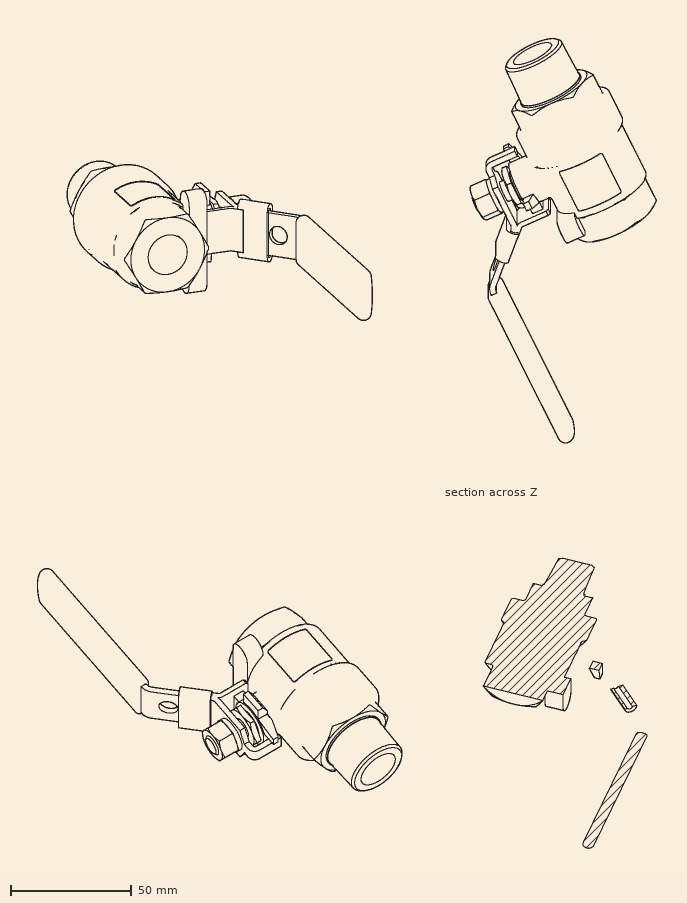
import cadquery as cq
import math


PIPE_END = -50.0
NECK_START = -32.8
LEFT_HEX_START = -32.0
FLANGE_START = -21.1
FLANGE_END = -8.0
BODY_START = -5.6
BODY_END = 19.0
RIGHT_HEX_END = 32.0

BORE_D = 17.5
FLANGE_D = 43.0
BODY_D = 40.0
EDGE_ROUND = 1.0
STEP_ARC_SHARE = 0.6

STUB_TIP_D = 24.12
STUB_START_D = 26.0
STUB_CHAMFER = 1.0
STUB_TAPER = 1 / 16
NECK_D = 27.6

HEX_FLATS = 33.0
HEX_CORNER_ROUND = 1.4
HEX_ROOT_ROUND = 1.0
HEX_CHAMFER_ANGLE = 30.0

LABEL_X = (-3.65, 15.7)
LABEL_HEIGHT = 19.8
LABEL_CORNER = 0.8
LABEL_DEPTH = 0.3

LUG_X = 20.95
LUG_SPAN = 45.0
LUG_WIDTH = 10.2
LUG_BOTTOM = 12.0
LUG_TOP = 20.0

BOSS_D = 20.0
BOSS_TOP = 30.0
BOSS_ROOT_ROUND = 1.0
GLAND_WASHER_D = 13.0
GLAND_NUT_BOTTOM = 31.2
GLAND_NUT_TOP = 33.9
GLAND_NUT_FLATS = 17.0
STEM_D = 9.0
STEM_TOP = 49.9
STEM_CHAMFER = 0.8
LEVER_WASHER_D = 15.0
LEVER_NUT_BOTTOM = 41.5
LEVER_NUT_TOP = 49.1
LEVER_NUT_FLATS = 14.3

PLATE_BOTTOM = 24.7
PLATE_TOP = 29.5
PLATE_TIP_BOTTOM = 27.0
STOP_REACH = 16.2
STOP_TAPER_END = 8.7
STOP_INNER_FACE = 3.1
STOP_TIP_OUTER_FACE = 6.6
STOP_ROOT_OUTER_FACE = 8.6
WIDE_ARM_WIDTH = 10.4
WIDE_ARM_REACH = 14.8
WIDE_ARM_TAPER_END = 10.8
SHORT_ARM_REACH = 12.2

LEVER_THICKNESS = 2.5
LEVER_WIDTH = 19.0
LEVER_BOTTOM = 36.8
LEVER_TAB_X = -13.95
LEVER_TAB_WIDTH = 6.1
TAB_CORNER_X = -9.1
SHOULDER_CORNER_X = -6.0
LEVER_RISE_OFFSET = 24.75
TAB_BEND = 1.0
RISE_BEND = 3.0
GRIP_BEND = 4.0
LEVER_HOLE_D = 8.0
LEVER_HOLE_X = 27.2

GRIP_START = 36.1
GRIP_END = 110.0
GRIP_END_SAGITTA = 2.2
GRIP_TOP = 61.8
GRIP_THICKNESS = 6.5
GRIP_WIDTH = 22.6
GRIP_CORNER = 3.4
GRIP_ROUND = 3.2
GRIP_START_ROUND = 1.5

LOCK_X = 19.0
LOCK_RISE_OFFSET = 25.3
LOCK_LENGTH = 13.4
LOCK_THICKNESS = 5.65
LOCK_WIDTH = 25.7
LOCK_SLOT_WIDTH = 21.8
LOCK_STRIP_THICKNESS = 2.1
LOCK_STRIP_X = 13.25
LOCK_STRIP_BOTTOM = 22.2
LOCK_STRIP_RISE_OFFSET = 22.5
LOCK_STRIP_END_X = 17.5
LOCK_STRIP_BEND = 0.5
LOCK_STRIP_CORNER = 1.1

LEVER_MID = LEVER_BOTTOM + LEVER_THICKNESS / 2
LEVER_TOP = LEVER_BOTTOM + LEVER_THICKNESS
GRIP_MID = GRIP_TOP - GRIP_THICKNESS / 2
CUT_REACH = 60.0


def across_corners(flats):
    return flats / math.cos(math.radians(30))


def plane_at_height(y):
    """Workplane whose local axes are X and Z; a negative extrusion goes toward +Y."""
    return cq.Workplane("XZ", origin=(0, y, 0))


def disc(diameter, bottom, top):
    return plane_at_height(bottom).circle(diameter / 2).extrude(bottom - top)


def turned_body():
    """Flange, barrel and the S-shaped step between them, as one turned solid."""
    flange_r = FLANGE_D / 2
    body_r = BODY_D / 2
    inflection = (
        FLANGE_END + STEP_ARC_SHARE * (BODY_START - FLANGE_END),
        flange_r + STEP_ARC_SHARE * (body_r - flange_r),
    )
    return (
        cq.Workplane("XY")
        .moveTo(FLANGE_START, 0)
        .lineTo(FLANGE_START, flange_r - EDGE_ROUND)
        .tangentArcPoint((FLANGE_START + EDGE_ROUND, flange_r), relative=False)
        .lineTo(FLANGE_END, flange_r)
        .tangentArcPoint(inflection, relative=False)
        .tangentArcPoint((BODY_START, body_r), relative=False)
        .lineTo(BODY_END - EDGE_ROUND, body_r)
        .tangentArcPoint((BODY_END, body_r - EDGE_ROUND), relative=False)
        .lineTo(BODY_END, 0)
        .close()
        .revolve(360, (0, 0, 0), (1, 0, 0))
    )


def pipe_stub():
    taper_length = NECK_START - PIPE_END - STUB_CHAMFER
    start_r = STUB_START_D / 2
    end_r = start_r + taper_length * STUB_TAPER / 2
    return (
        cq.Workplane("XY")
        .moveTo(PIPE_END, 0)
        .lineTo(PIPE_END, STUB_TIP_D / 2)
        .lineTo(PIPE_END + STUB_CHAMFER, start_r)
        .lineTo(NECK_START, end_r)
        .lineTo(NECK_START, NECK_D / 2)
        .lineTo(LEFT_HEX_START, NECK_D / 2)
        .lineTo(LEFT_HEX_START, 0)
        .close()
        .revolve(360, (0, 0, 0), (1, 0, 0))
    )


def wrench_hex(free_end, root):
    """Hexagon along X with corners on +Y and -Y, chamfered at its free end."""
    corners = across_corners(HEX_FLATS)
    prism = (
        cq.Workplane("YZ", origin=(free_end, 0, 0))
        .polygon(6, corners)
        .extrude(root - free_end)
        .edges("|X")
        .fillet(HEX_CORNER_ROUND)
    )
    rise = (corners - HEX_FLATS) / 2
    depth = math.copysign(rise * math.tan(math.radians(HEX_CHAMFER_ANGLE)), root - free_end)
    envelope = (
        cq.Workplane("XY")
        .moveTo(free_end, 0)
        .lineTo(free_end, HEX_FLATS / 2)
        .lineTo(free_end + depth, corners / 2)
        .lineTo(root, corners / 2)
        .lineTo(root, 0)
        .close()
        .revolve(360, (0, 0, 0), (1, 0, 0))
    )
    return prism.intersect(envelope)


def rooted_hex(free_end, root, seat_d):
    """Wrench hexagon filleted into a seat disc, trimmed to the flat part of the seat."""
    seat_end = root + math.copysign(EDGE_ROUND, root - free_end)
    seat = cq.Workplane("YZ", origin=(root, 0, 0)).circle(FLANGE_D / 2).extrude(seat_end - root)
    root_box = cq.selectors.BoxSelector(
        (root - EDGE_ROUND / 2, -FLANGE_D, -FLANGE_D), (root + EDGE_ROUND / 2, FLANGE_D, FLANGE_D)
    )
    rooted = (
        seat.union(wrench_hex(free_end, root))
        .edges(root_box)
        .edges("%LINE")
        .fillet(HEX_ROOT_ROUND)
    )
    trim = (
        cq.Workplane("YZ", origin=(free_end, 0, 0))
        .circle(seat_d / 2)
        .extrude(seat_end - free_end)
    )
    return rooted.intersect(trim)


def label_recess(side):
    """Shallow recess following the barrel; side is +1 for +Z and -1 for -Z."""
    length = LABEL_X[1] - LABEL_X[0]
    window = (
        cq.Workplane("XY")
        .center((LABEL_X[0] + LABEL_X[1]) / 2, 0)
        .rect(length, LABEL_HEIGHT)
        .extrude(side * BODY_D)
        .edges("|Z")
        .fillet(LABEL_CORNER)
    )
    core = (
        cq.Workplane("YZ", origin=(FLANGE_START, 0, 0))
        .circle(BODY_D / 2 - LABEL_DEPTH)
        .extrude(BODY_END - FLANGE_START)
    )
    return window.cut(core)


def lug_bar():
    return (
        plane_at_height(LUG_BOTTOM)
        .center(LUG_X, 0)
        .slot2D(LUG_SPAN, LUG_WIDTH, 90)
        .extrude(LUG_BOTTOM - LUG_TOP)
    )


def stem_nut(flats, bottom, top):
    """Hexagon nut on the stem, corners on +X and -X, chamfered at its top."""
    corners = across_corners(flats)
    prism = plane_at_height(bottom).polygon(6, corners).extrude(bottom - top)
    rise = (corners - flats) / 2
    depth = rise * math.tan(math.radians(HEX_CHAMFER_ANGLE))
    envelope = (
        cq.Workplane("XY")
        .moveTo(0, bottom)
        .lineTo(corners / 2, bottom)
        .lineTo(corners / 2, top - depth)
        .lineTo(flats / 2, top)
        .lineTo(0, top)
        .close()
        .revolve(360, (0, 0, 0), (0, 1, 0))
    )
    return prism.intersect(envelope)


def stem_stack():
    stem = disc(STEM_D, BOSS_TOP, STEM_TOP).faces(">Y").edges().chamfer(STEM_CHAMFER)
    return (
        stem.union(disc(GLAND_WASHER_D, BOSS_TOP, GLAND_NUT_BOTTOM))
        .union(stem_nut(GLAND_NUT_FLATS, GLAND_NUT_BOTTOM, GLAND_NUT_TOP))
        .union(disc(LEVER_WASHER_D, LEVER_TOP, LEVER_NUT_BOTTOM))
        .union(stem_nut(LEVER_NUT_FLATS, LEVER_NUT_BOTTOM, LEVER_NUT_TOP))
    )


def tapered_arm_side(reach, taper_end):
    """Side profile of an arm along -X whose underside rises toward the tip."""
    return (
        cq.Workplane("XY")
        .moveTo(0, PLATE_BOTTOM)
        .lineTo(-taper_end, PLATE_BOTTOM)
        .lineTo(-reach, PLATE_TIP_BOTTOM)
        .lineTo(-reach, PLATE_TOP)
        .lineTo(0, PLATE_TOP)
        .close()
        .extrude(STOP_REACH, both=True)
    )


def stop_arm():
    """Arm along -X that catches the lever tab on its +Z side."""
    plan = (
        plane_at_height(PLATE_BOTTOM)
        .moveTo(-STOP_REACH, STOP_INNER_FACE)
        .lineTo(-STOP_REACH, STOP_TIP_OUTER_FACE)
        .lineTo(-WIDE_ARM_WIDTH / 2, STOP_ROOT_OUTER_FACE)
        .lineTo(0, STOP_ROOT_OUTER_FACE)
        .lineTo(0, STOP_INNER_FACE)
        .close()
        .extrude(PLATE_BOTTOM - PLATE_TOP)
    )
    return plan.intersect(tapered_arm_side(STOP_REACH, STOP_TAPER_END))


def wide_arm():
    plan = (
        plane_at_height(PLATE_BOTTOM)
        .rect(2 * WIDE_ARM_REACH, WIDE_ARM_WIDTH)
        .extrude(PLATE_BOTTOM - PLATE_TOP)
    )
    side = tapered_arm_side(WIDE_ARM_REACH, WIDE_ARM_TAPER_END)
    return plan.intersect(side).rotate((0, 0, 0), (0, 1, 0), 90)


def short_arm():
    return (
        plane_at_height(PLATE_BOTTOM)
        .center(SHORT_ARM_REACH / 2, 0)
        .rect(SHORT_ARM_REACH, WIDE_ARM_WIDTH)
        .extrude(PLATE_BOTTOM - PLATE_TOP)
    )


def stop_plate():
    """Two stop arms a quarter turn apart, with a wide arm on +Z and a short one on +X."""
    far_stop = stop_arm().mirror("XY").rotate((0, 0, 0), (0, 1, 0), -90)
    return stop_arm().union(far_stop).union(wide_arm()).union(short_arm())


def bent_strip(centre_line, inner_radii, thickness, width):
    """Sheet strip along an XY centre line, with one inner radius for each bend."""
    headings = [
        math.atan2(end[1] - start[1], end[0] - start[0])
        for start, end in zip(centre_line, centre_line[1:])
    ]
    before = [headings[0]] + headings
    after = headings + [headings[-1]]
    left = []
    right = []
    turns = []
    for (x, y), angle_in, angle_out in zip(centre_line, before, after):
        turn = angle_out - angle_in
        miter = thickness / 2 / math.cos(turn / 2)
        across = (angle_in + angle_out) / 2 + math.pi / 2
        step = (miter * math.cos(across), miter * math.sin(across))
        left.append((x + step[0], y + step[1]))
        right.append((x - step[0], y - step[1]))
        turns.append(turn)
    strip = cq.Workplane("XY").polyline(left + right[::-1]).close().extrude(width / 2, both=True)
    for i, radius in enumerate(inner_radii, start=1):
        inner, outer = (left[i], right[i]) if turns[i] > 0 else (right[i], left[i])
        for point, bend in ((inner, radius), (outer, radius + thickness)):
            edge = cq.selectors.NearestToPointSelector((*point, 0))
            strip = strip.edges("|Z").edges(edge).fillet(bend)
    return strip


def rise_plane(x, offset, normal):
    """Workplane on the 45 degree line y = x + offset, with local x along Z."""
    return cq.Workplane(cq.Plane((x, x + offset, 0), (0, 0, 1), normal))


def lever():
    centre_line = [
        (LEVER_TAB_X, PLATE_BOTTOM),
        (LEVER_TAB_X, LEVER_MID),
        (LEVER_MID - LEVER_RISE_OFFSET, LEVER_MID),
        (GRIP_MID - LEVER_RISE_OFFSET, GRIP_MID),
        (GRIP_START + GRIP_THICKNESS, GRIP_MID),
    ]
    strip = bent_strip(
        centre_line, [TAB_BEND, RISE_BEND, GRIP_BEND], LEVER_THICKNESS, LEVER_WIDTH
    )
    tab_side = LEVER_TAB_WIDTH / 2
    shoulder = (
        plane_at_height(0)
        .moveTo(-CUT_REACH, tab_side)
        .lineTo(TAB_CORNER_X, tab_side)
        .lineTo(SHOULDER_CORNER_X, LEVER_WIDTH / 2)
        .lineTo(SHOULDER_CORNER_X, LEVER_WIDTH)
        .lineTo(-CUT_REACH, LEVER_WIDTH)
        .close()
        .extrude(-CUT_REACH)
    )
    hole = (
        rise_plane(LEVER_HOLE_X, LEVER_RISE_OFFSET, (-1, 1, 0))
        .circle(LEVER_HOLE_D / 2)
        .extrude(LEVER_THICKNESS, both=True)
    )
    return strip.cut(shoulder).cut(shoulder.mirror("XY")).cut(hole)


def grip():
    half_width = GRIP_WIDTH / 2
    side_end = GRIP_END - GRIP_END_SAGITTA
    slab = (
        plane_at_height(GRIP_TOP - GRIP_THICKNESS)
        .moveTo(GRIP_START, -half_width)
        .lineTo(side_end, -half_width)
        .threePointArc((GRIP_END, 0), (side_end, half_width))
        .lineTo(GRIP_START, half_width)
        .close()
        .extrude(-GRIP_THICKNESS)
    )
    slab = slab.edges("|Y").edges(">X").fillet(GRIP_CORNER)
    slab = slab.faces("<Y or >Y").edges("not <X").fillet(GRIP_ROUND)
    return slab.faces("<X").edges().fillet(GRIP_START_ROUND)


def lock_sleeve():
    rise_direction = (1, 1, 0)
    sleeve = (
        rise_plane(LOCK_X, LOCK_RISE_OFFSET, rise_direction)
        .slot2D(LOCK_WIDTH, LOCK_THICKNESS)
        .extrude(LOCK_LENGTH / 2, both=True)
    )
    slot = (
        rise_plane(LOCK_X, LEVER_RISE_OFFSET, rise_direction)
        .slot2D(LOCK_SLOT_WIDTH, LEVER_THICKNESS)
        .extrude(LOCK_LENGTH, both=True)
    )
    return sleeve.cut(slot)


def lock_strip():
    centre_line = [
        (LOCK_STRIP_X, LOCK_STRIP_BOTTOM),
        (LOCK_STRIP_X, LOCK_STRIP_X + LOCK_STRIP_RISE_OFFSET),
        (LOCK_STRIP_END_X, LOCK_STRIP_END_X + LOCK_STRIP_RISE_OFFSET),
    ]
    strip = bent_strip(centre_line, [LOCK_STRIP_BEND], LOCK_STRIP_THICKNESS, LEVER_WIDTH)
    return strip.faces("<Y").edges("|X").chamfer(LOCK_STRIP_CORNER)


def valve_body():
    boss = disc(BOSS_D, BORE_D / 2, BOSS_TOP)
    boss_root = cq.selectors.BoxSelector(
        (-BOSS_D / 2, BOSS_D / 2, -BOSS_D / 2), (BOSS_D / 2, FLANGE_D / 2, BOSS_D / 2)
    )
    body = turned_body().union(boss).edges(boss_root).fillet(BOSS_ROOT_ROUND)
    left_hex = rooted_hex(LEFT_HEX_START, FLANGE_START, FLANGE_D - 2 * EDGE_ROUND)
    right_hex = rooted_hex(RIGHT_HEX_END, BODY_END, BODY_D - 2 * EDGE_ROUND)
    body = body.union(left_hex).union(right_hex).union(pipe_stub())
    body = body.cut(label_recess(1)).cut(label_recess(-1)).union(lug_bar())
    bore = cq.Workplane("YZ", origin=(PIPE_END, 0, 0)).circle(BORE_D / 2).extrude(RIGHT_HEX_END - PIPE_END)
    return body.cut(bore)


def handle():
    return lever().union(lock_strip()).union(lock_sleeve()).union(grip())


result = valve_body().union(stop_plate()).union(stem_stack()).union(handle())